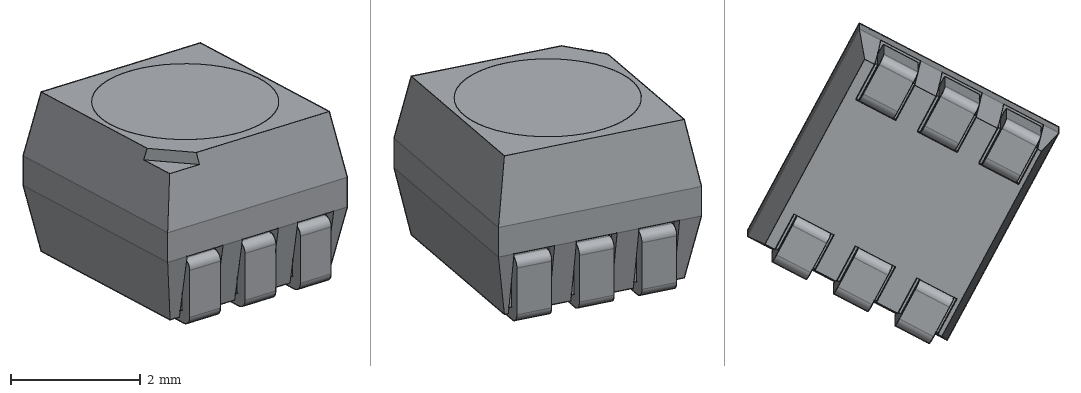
import cadquery as cq
import math

LENGTH = 3.7
WIDTH = 3.5
HEIGHT = 2.8

STANDOFF = 0.1
TAPER_HEIGHT = 1.1
TAPER_INSET = 0.2
TAPER_ANGLE = math.degrees(math.atan2(TAPER_INSET, TAPER_HEIGHT))
BAND_BOTTOM = STANDOFF + TAPER_HEIGHT
BAND_TOP = HEIGHT - TAPER_HEIGHT

NOTCH_DEPTH = 0.2
NOTCH_LEG_X = 1.018
NOTCH_LEG_Y = 0.885

LENS_DIAMETER = 2.9
LENS_DEPTH = 0.5

LEAD_WIDTH = 0.6
LEAD_THICKNESS = 0.2
LEAD_HEIGHT = 1.1
LEAD_ROUND = 0.15
FOOT_LENGTH = 0.83
LEADS_PER_SIDE = 3
LEAD_PITCH = 1.075
LEAD_ROW_OFFSET = 0.055
CHANNEL_WIDTH = 0.7

LEAD_POSITIONS = [
    LEAD_ROW_OFFSET + (i - (LEADS_PER_SIDE - 1) / 2) * LEAD_PITCH for i in range(LEADS_PER_SIDE)
]


def make_shell():
    """Solid housing blank: waist band with a tapered half above and below."""
    band = cq.Workplane("XY").workplane(offset=BAND_BOTTOM).rect(LENGTH, WIDTH)
    band = band.extrude(BAND_TOP - BAND_BOTTOM)
    upper = cq.Workplane("XY").workplane(offset=BAND_TOP).rect(LENGTH, WIDTH)
    upper = upper.extrude(TAPER_HEIGHT, taper=TAPER_ANGLE)
    lower = cq.Workplane("XY").workplane(offset=BAND_BOTTOM).rect(LENGTH, WIDTH)
    lower = lower.extrude(-TAPER_HEIGHT, taper=TAPER_ANGLE)
    return band.union(upper).union(lower)


def make_corner_notch():
    """Triangular prism that removes one top corner."""
    corner_x = LENGTH / 2
    corner_y = -WIDTH / 2
    return (
        cq.Workplane("XY")
        .workplane(offset=HEIGHT - NOTCH_DEPTH)
        .moveTo(corner_x, corner_y)
        .lineTo(corner_x, corner_y + NOTCH_LEG_Y)
        .lineTo(corner_x - NOTCH_LEG_X, corner_y)
        .close()
        .extrude(NOTCH_DEPTH)
    )


def make_lens():
    """Disc that fills the round opening in the top face."""
    lens_floor = cq.Workplane("XY").workplane(offset=HEIGHT - LENS_DEPTH)
    return lens_floor.circle(LENS_DIAMETER / 2).extrude(LENS_DEPTH)


def make_l_bar(leg_height, width, y):
    """Square-edged L at the -X end: an upright leg with a foot pointing inward."""
    outer_x = -LENGTH / 2
    return (
        cq.Workplane("XZ", origin=(outer_x, y + width / 2, 0))
        .lineTo(FOOT_LENGTH, 0)
        .lineTo(FOOT_LENGTH, LEAD_THICKNESS)
        .lineTo(LEAD_THICKNESS, LEAD_THICKNESS)
        .lineTo(LEAD_THICKNESS, leg_height)
        .lineTo(0, leg_height)
        .close()
        .extrude(width)
    )


def make_lead(y):
    """Lead at the -X end, rounded at the outer edges and under the toe."""
    lead = make_l_bar(LEAD_HEIGHT, LEAD_WIDTH, y)
    return lead.edges("|Y and (<X or (>X and <Z))").fillet(LEAD_ROUND)


def make_channel(y):
    """Recess in the -X end of the housing, wider and taller than the lead it takes."""
    return make_l_bar(BAND_BOTTOM, CHANNEL_WIDTH, y)


def make_housing():
    """Housing with its lens opening, corner notch and lead channels."""
    housing = make_shell().cut(make_lens()).cut(make_corner_notch())
    for y in LEAD_POSITIONS:
        channel = make_channel(y)
        housing = housing.cut(channel).cut(channel.mirror("YZ"))
    return housing


def make_leads():
    """Both rows of leads, each lead a separate solid."""
    leads = []
    for y in LEAD_POSITIONS:
        lead = make_lead(y)
        leads.append(lead.solids().val())
        leads.append(lead.mirror("YZ").solids().val())
    return leads


housing = make_housing()
lens = make_lens()
leads = make_leads()

result = cq.Compound.makeCompound([housing.solids().val(), lens.val(), *leads])